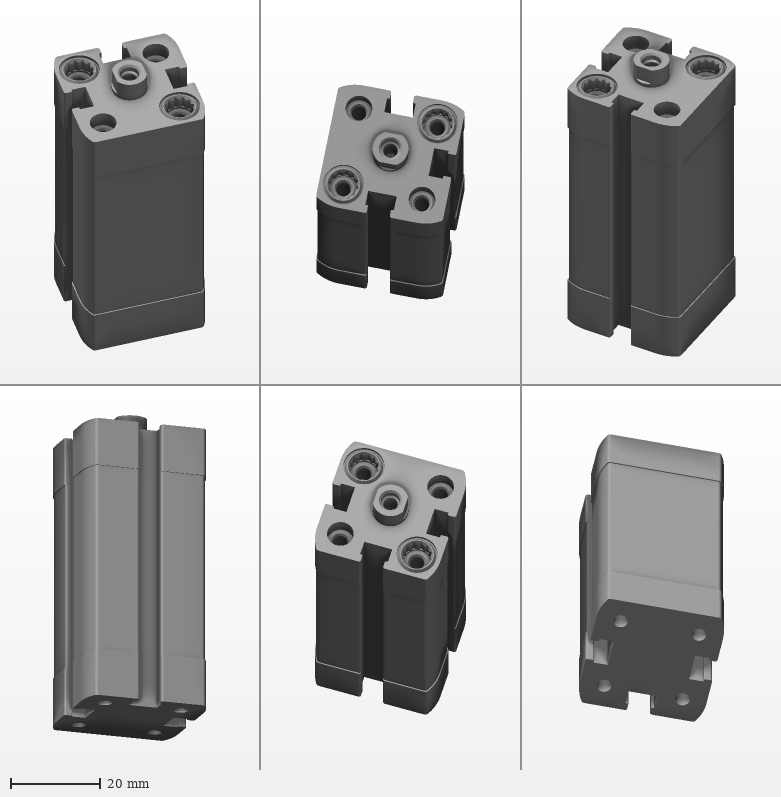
import cadquery as cq
import math


total_height = 69.7
rod_projection = 4.8
housing_height = total_height - rod_projection
cap_width = 29.0
cap_height = 10.95
barrel_inset = 0.245
corner_radius = 10.05
corner_center = 9.0
edge_fillet = 0.85

slot_depth = 5.15
slot_width = 6.55
mouth_width = 5.2
lip_depth = 1.9
mouth_fillet = 0.5
lip_fillet = 0.3

hole_offset = 9.0
hole_diameter = 3.3
hole_chamfer_diameter = 4.1
counterbore_diameter = 6.0
counterbore_depth = 3.6

tooth_count = 12
groove_root_radius = 3.4
groove_depth = 3.15
first_tip_angle = 45.0
funnel_diameter = 7.2
funnel_depth = 0.85
ring_diameter = 9.2
collar_top_diameter = 7.5
collar_foot_diameter = 8.5
ring_depth = 0.7

rod_diameter = 8.0
rod_seat_depth = cap_height
flat_distance = 7.05
flat_height = 3.7
flat_runout = 0.2
rod_hole_diameter = 3.3
rod_hole_depth = 10.05
rod_recess_diameter = 4.3
rod_recess_depth = 1.6
rod_step_height = 0.3
rod_mouth_diameter = 5.2
drill_angle = 118.0

splined_corners = [(hole_offset, hole_offset), (-hole_offset, -hole_offset)]
plain_corners = [(-hole_offset, hole_offset), (hole_offset, -hole_offset)]


def revolve_profile(points):
    """Solid turned about Z from (radius, height) points."""
    return cq.Workplane("XZ").polyline(points).close().revolve(360, (0, 0, 0), (0, 1, 0))


def outline_prism(inset, bottom, height):
    """Square block with a large round at each end of the +Y and -Y faces."""
    half = cap_width / 2 - inset
    radius = corner_radius - inset
    center_y = cap_width / 2 - corner_radius

    def on_round(x):
        return center_y + math.sqrt(radius ** 2 - (x - corner_center) ** 2)

    side_y = on_round(half)
    middle_x = (corner_center + half) / 2
    middle_y = on_round(middle_x)
    outline = (
        cq.Workplane("XY", origin=(0, 0, bottom))
        .moveTo(half, -side_y)
        .lineTo(half, side_y)
        .threePointArc((middle_x, middle_y), (corner_center, half))
        .lineTo(-corner_center, half)
        .threePointArc((-middle_x, middle_y), (-half, side_y))
        .lineTo(-half, -side_y)
        .threePointArc((-middle_x, -middle_y), (-corner_center, -half))
        .lineTo(corner_center, -half)
        .threePointArc((middle_x, -middle_y), (half, -side_y))
        .close()
    )
    return outline.extrude(height).edges("|Z and (<X or >X)").fillet(edge_fillet)


def slot_cutter(inset, bottom, height):
    """T-slot that opens through the -Y face, with rounded lips."""
    face = -(cap_width / 2 - inset)
    floor = -(cap_width / 2 - slot_depth)
    lip = -(cap_width / 2 - lip_depth)
    mouth = mouth_width / 2
    chamber = slot_width / 2
    arc_middle = 1 - math.sqrt(0.5)
    mouth_setback = mouth_fillet * arc_middle
    lip_setback = lip_fillet * arc_middle
    right_half = (
        cq.Workplane("XY", origin=(0, 0, bottom))
        .moveTo(0, face)
        .lineTo(mouth + mouth_fillet, face)
        .threePointArc((mouth + mouth_setback, face + mouth_setback), (mouth, face + mouth_fillet))
        .lineTo(mouth, lip - lip_fillet)
        .threePointArc((mouth + lip_setback, lip - lip_setback), (mouth + lip_fillet, lip))
        .lineTo(chamber, lip)
        .lineTo(chamber, floor)
        .lineTo(0, floor)
    )
    return right_half.mirrorY().extrude(height)


def section(inset, bottom, height):
    """One length of the housing with its three slots."""
    prism = outline_prism(inset, bottom, height)
    for angle in (0, 180, -90):
        prism = prism.cut(slot_cutter(inset, bottom, height).rotate((0, 0, 0), (0, 0, 1), angle))
    return prism


def mounting_hole():
    """Counterbored through hole on the Z axis."""
    bore = hole_diameter / 2
    chamfer = hole_chamfer_diameter / 2
    counterbore = counterbore_diameter / 2
    floor = housing_height - counterbore_depth
    return revolve_profile([
        (0, 0), (bore, 0), (bore, floor - (chamfer - bore)), (chamfer, floor),
        (counterbore, floor), (counterbore, housing_height), (0, housing_height),
    ])


def spline_socket():
    """V-grooves, entry funnel and outer ring groove of a socket on the Z axis."""
    tip_radius = counterbore_diameter / 2
    half_pitch = math.pi / tooth_count
    first_tip = math.radians(first_tip_angle)
    star = []
    for index in range(2 * tooth_count):
        radius = tip_radius if index % 2 == 0 else groove_root_radius
        angle = first_tip + index * half_pitch
        star.append((radius * math.cos(angle), radius * math.sin(angle)))
    grooves = (
        cq.Workplane("XY", origin=(0, 0, housing_height - groove_depth))
        .polyline(star).close().extrude(groove_depth)
    )
    funnel = revolve_profile([
        (0, housing_height), (0, housing_height - funnel_depth),
        (tip_radius, housing_height - funnel_depth), (funnel_diameter / 2, housing_height),
    ])
    ring = revolve_profile([
        (collar_top_diameter / 2, housing_height), (collar_foot_diameter / 2, housing_height - ring_depth),
        (ring_diameter / 2, housing_height - ring_depth), (ring_diameter / 2, housing_height),
    ])
    return grooves, funnel, ring


def make_housing():
    barrel_height = housing_height - 2 * cap_height
    housing = section(0, 0, cap_height)
    housing = housing.union(section(barrel_inset, cap_height, barrel_height))
    housing = housing.union(section(0, housing_height - cap_height, cap_height))
    for x, y in plain_corners + splined_corners:
        housing = housing.cut(mounting_hole().translate((x, y, 0)))
    for x, y in splined_corners:
        for cutter in spline_socket():
            housing = housing.cut(cutter.translate((x, y, 0)))
    seat = (
        cq.Workplane("XY", origin=(0, 0, housing_height - rod_seat_depth))
        .circle(rod_diameter / 2).extrude(rod_seat_depth)
    )
    return housing.cut(seat)


def make_rod():
    length = rod_seat_depth + rod_projection
    rod = cq.Workplane("XY", origin=(0, 0, total_height - length)).circle(rod_diameter / 2).extrude(length)
    flat = flat_distance / 2
    outside = rod_diameter / 2
    flat_foot = total_height - flat_height
    flat_cutter = (
        cq.Workplane("YZ")
        .polyline([
            (flat, total_height), (flat, flat_foot),
            (outside, flat_foot - flat_runout), (outside, total_height),
        ])
        .close().extrude(outside, both=True)
    )
    for angle in (0, 180):
        rod = rod.cut(flat_cutter.rotate((0, 0, 0), (0, 0, 1), angle))
    bore = rod_hole_diameter / 2
    recess = rod_recess_diameter / 2
    mouth = rod_mouth_diameter / 2
    drill_tip = bore / math.tan(math.radians(drill_angle / 2))
    mouth_floor = total_height - (mouth - recess)
    recess_floor = total_height - rod_recess_depth
    bore_floor = total_height - rod_hole_depth
    hole = revolve_profile([
        (0, total_height), (mouth, total_height), (recess, mouth_floor), (recess, recess_floor),
        (bore, recess_floor - rod_step_height), (bore, bore_floor), (0, bore_floor - drill_tip),
    ])
    return rod.cut(hole)


housing = make_housing()
rod = make_rod()

result = cq.Compound.makeCompound([housing.solids().val(), rod.solids().val()])